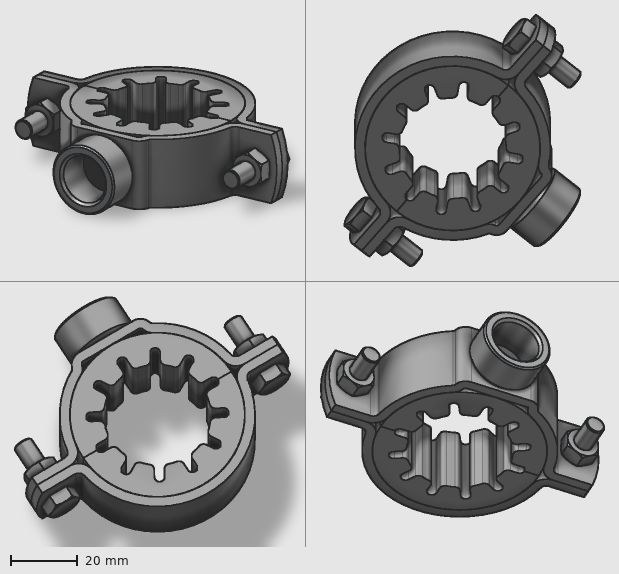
import cadquery as cq
import math

height = 22.0
band_thickness = 3.0
band_inner_radius = 26.2
band_outer_radius = band_inner_radius + band_thickness

overall_length = 88.8
ear_corner_x = 42.4
ear_bend_radius = 2.0

seat_half_width = 9.8
seat_bend_radius = 1.0

liner_radius = 26.1
liner_bore_radius = 16.0
slot_count = 12
slot_tip_radius = 21.3
slot_width = 3.0
tooth_fillet = 1.7

socket_radius = 10.9
socket_length = 11.8
socket_base_radius = 9.6
socket_base_cone = 1.5
socket_rim_chamfer = 0.5
socket_bore_radius = 7.5
socket_bore_chamfer = 0.9

bolt_x = 36.95
shank_radius = 3.0
shank_end_y = -16.9
shank_chamfer = 0.35
hex_across_flats = 10.0
hex_corner_radius = hex_across_flats / math.sqrt(3)
hex_chamfer_angle = 30.0
head_height = 4.0
nut_height = 5.0

LEFT_AND_RIGHT = (-1, 1)
LOWER_AND_UPPER = (-1, 1)


def polar(center, radius, angle):
    """Point at an angle in degrees on a circle."""
    radians = math.radians(angle)
    return (center[0] + radius * math.cos(radians), center[1] + radius * math.sin(radians))


def arc(path, center, radius, start_angle, end_angle):
    """Continue the path along a circle, starting from its current point."""
    middle = polar(center, radius, (start_angle + end_angle) / 2)
    return path.threePointArc(middle, polar(center, radius, end_angle))


def extrude_centered(outline):
    """Extrude a closed XY outline to the common height, centred on Z = 0."""
    return outline.close().extrude(height / 2, both=True)


def y_cylinder(radius, y_low, y_high):
    """Cylinder along Y about the Y axis."""
    return cq.Workplane("XZ", origin=(0, y_high, 0)).circle(radius).extrude(y_high - y_low)


ring_center = (0.0, 0.0)
ear_bend_y = band_thickness + ear_bend_radius
ear_bend_distance = band_outer_radius + ear_bend_radius
ear_start_x = math.sqrt(ear_bend_distance**2 - ear_bend_y**2)
ear_bend_center = (ear_start_x, ear_bend_y)
ear_angle = math.degrees(math.asin(ear_bend_y / ear_bend_distance))


def ear_outline():
    """Ear and its bend, from the ring's outside round to the ring's inside."""
    path = cq.Workplane("XY").moveTo(*polar(ring_center, band_outer_radius, ear_angle))
    path = arc(path, ear_bend_center, ear_bend_radius, 180 + ear_angle, 270)
    path = path.lineTo(overall_length / 2, band_thickness)
    path = path.lineTo(overall_length / 2, 0)
    path = path.lineTo(ear_start_x, 0)
    return arc(path, ear_bend_center, ear_bend_radius + band_thickness, 270, 180 + ear_angle)


def ear_envelope():
    """Plate with rounded ends that gives the ears their shape."""
    z = height / 2
    return (
        cq.Workplane("XZ")
        .moveTo(-ear_corner_x, -z)
        .lineTo(ear_corner_x, -z)
        .threePointArc((overall_length / 2, 0), (ear_corner_x, z))
        .lineTo(-ear_corner_x, z)
        .threePointArc((-overall_length / 2, 0), (-ear_corner_x, -z))
        .close()
        .extrude(2 * band_outer_radius, both=True)
    )


def finish_clamp(half):
    """Mirror the +X half, round the ears and drill the bolt holes."""
    clamp = half.union(half.mirror("YZ")).intersect(ear_envelope())
    for side in LEFT_AND_RIGHT:
        hole = y_cylinder(shank_radius, -ear_bend_y, ear_bend_y)
        clamp = clamp.cut(hole.translate((side * bolt_x, 0, 0)))
    return clamp


def make_upper_clamp():
    outline = arc(ear_outline(), ring_center, band_inner_radius, ear_angle, 90)
    outline = outline.lineTo(0, band_outer_radius)
    outline = arc(outline, ring_center, band_outer_radius, 90, ear_angle)
    return finish_clamp(extrude_centered(outline))


def make_lower_clamp():
    """Lower clamp, outlined with its seat towards +Y and then mirrored."""
    inner_bend = seat_bend_radius
    outer_bend = seat_bend_radius + band_thickness

    seat_bend_center = (seat_half_width, band_outer_radius - outer_bend)
    ring_bend_distance = band_outer_radius + inner_bend
    center_distance = math.hypot(*seat_bend_center)
    center_angle = math.degrees(math.atan2(seat_bend_center[1], seat_bend_center[0]))
    between_centers = inner_bend + outer_bend
    cosine = ring_bend_distance**2 + center_distance**2 - between_centers**2
    cosine /= 2 * ring_bend_distance * center_distance
    ring_angle = center_angle - math.degrees(math.acos(cosine))
    ring_bend_center = polar(ring_center, ring_bend_distance, ring_angle)
    meet_angle = math.degrees(
        math.atan2(
            ring_bend_center[1] - seat_bend_center[1],
            ring_bend_center[0] - seat_bend_center[0],
        )
    )

    outline = arc(ear_outline(), ring_center, band_inner_radius, ear_angle, ring_angle)
    outline = arc(outline, ring_bend_center, outer_bend, 180 + ring_angle, 180 + meet_angle)
    outline = arc(outline, seat_bend_center, inner_bend, meet_angle, 90)
    outline = outline.lineTo(0, band_inner_radius)
    outline = outline.lineTo(0, band_outer_radius)
    outline = outline.lineTo(seat_half_width, band_outer_radius)
    outline = arc(outline, seat_bend_center, outer_bend, 90, meet_angle)
    outline = arc(outline, ring_bend_center, inner_bend, 180 + meet_angle, 180 + ring_angle)
    outline = arc(outline, ring_center, band_outer_radius, ring_angle, ear_angle)
    return finish_clamp(extrude_centered(outline).mirror("XZ"))


def make_liner_halves():
    """Slotted ring split along Y = 0 into a lower and an upper half."""
    ring = cq.Workplane("XY").circle(liner_radius).circle(liner_bore_radius)
    ring = ring.extrude(height / 2, both=True)

    slot_inner_radius = liner_bore_radius / 2
    slot_length = slot_tip_radius - slot_inner_radius
    slot = (
        cq.Workplane("XY")
        .center(slot_inner_radius + slot_length / 2, 0)
        .slot2D(slot_length, slot_width)
        .extrude(height / 2, both=True)
    )
    for index in range(slot_count):
        ring = ring.cut(slot.rotate((0, 0, 0), (0, 0, 1), index * 360 / slot_count))

    corner_limit = (liner_bore_radius + slot_tip_radius) / 2
    corners = ring.edges("|Z").filter(
        lambda edge: math.hypot(edge.Center().x, edge.Center().y) < corner_limit
    )
    ring = corners.fillet(tooth_fillet)

    halves = []
    half_space = cq.Workplane("XY").box(2 * liner_radius, liner_radius, height)
    for side in LOWER_AND_UPPER:
        halves.append(ring.intersect(half_space.translate((0, side * liner_radius / 2, 0))))
    return halves


def make_socket():
    """Tube on the seat, with a coned base and chamfered mouth."""
    base_y = -band_outer_radius
    mouth_y = base_y - socket_length
    return (
        cq.Workplane("XY")
        .moveTo(socket_bore_radius, base_y)
        .lineTo(socket_base_radius, base_y)
        .lineTo(socket_radius, base_y - socket_base_cone)
        .lineTo(socket_radius, mouth_y + socket_rim_chamfer)
        .lineTo(socket_radius - socket_rim_chamfer, mouth_y)
        .lineTo(socket_bore_radius + socket_bore_chamfer, mouth_y)
        .lineTo(socket_bore_radius, mouth_y + socket_bore_chamfer)
        .close()
        .revolve(360, (0, 0, 0), (0, 1, 0))
    )


def hex_block(y_low, y_high, turn, chamfered_faces):
    """Hexagon along Y with its corners turned down on the chosen end faces."""
    radial_chamfer = hex_corner_radius - hex_across_flats / 2
    axial_chamfer = radial_chamfer * math.tan(math.radians(hex_chamfer_angle))
    envelope = y_cylinder(hex_corner_radius, y_low, y_high)
    envelope = envelope.faces(chamfered_faces).edges().chamfer(axial_chamfer, radial_chamfer)
    hexagon = cq.Workplane("XZ", origin=(0, y_high, 0)).polygon(6, 2 * hex_corner_radius)
    hexagon = hexagon.extrude(y_high - y_low).rotate((0, 0, 0), (0, 1, 0), turn)
    return hexagon.intersect(envelope)


def make_bolt(side):
    """Bolt with its head on the upper ear and two head corners along X."""
    head = hex_block(band_thickness, band_thickness + head_height, 0, ">Y")
    shank = y_cylinder(shank_radius, shank_end_y, band_thickness)
    shank = shank.faces("<Y").chamfer(shank_chamfer)
    return head.union(shank).translate((side * bolt_x, 0, 0))


def make_nut(side):
    """Nut under the lower ear, with two corners along Z."""
    low = -band_thickness - nut_height
    nut = hex_block(low, -band_thickness, 90, "<Y or >Y")
    nut = nut.cut(y_cylinder(shank_radius, low, -band_thickness))
    return nut.translate((side * bolt_x, 0, 0))


upper_clamp = make_upper_clamp()
lower_clamp = make_lower_clamp()
liner_halves = make_liner_halves()
socket = make_socket()
bolts = [make_bolt(side) for side in LEFT_AND_RIGHT]
nuts = [make_nut(side) for side in LEFT_AND_RIGHT]

bodies = [upper_clamp, lower_clamp, *liner_halves, socket, *bolts, *nuts]
result = cq.Compound.makeCompound([body.val() for body in bodies])